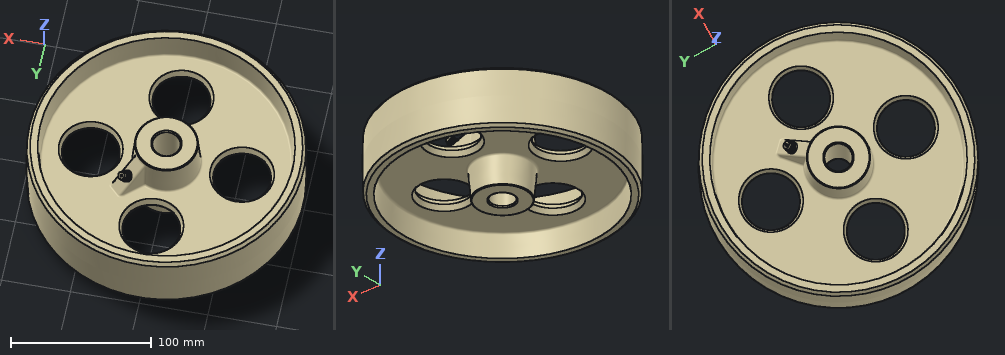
import cadquery as cq
import math

tread_radius = 100.0
tread_draft = 1.0
rim_width = 48.8
rim_chamfer = 2.5
rim_mouth_radius = 91.8
web_half_thickness = 4.5
hub_half_length = 29.0
hub_end_radius = 22.5
hub_chamfer = 0.5
casting_draft = 5.0
casting_fillet = 1.8
bore_radius = 10.0
bore_chamfer = 1.0

hole_count = 4
hole_circle_radius = 55.0
hole_waist_radius = 20.5
hole_mouth_radius = 23.0

boss_direction = 45.0
seat_slope = 45.0
seat_foot_radius = 44.5
boss_width = 12.2
boss_shoulder_radius = 2.0
boss_inner_radius = 21.5
boss_overrun = 2.0
boss_depth = 17.0

nipple_radial_position = 33.8
flange_radius = 4.2
flange_height = 1.8
neck_radius = 3.2
neck_top = 2.8
collar_radius = 3.5
collar_start = 3.2
collar_end = 4.5
tip_radius = 2.8
nipple_height = 7.0
inlet_radius = 0.8
inlet_depth = 1.0

rim_half_width = rim_width / 2
draft_slope = math.tan(math.radians(casting_draft))
tread_edge_radius = tread_radius - rim_half_width * math.tan(math.radians(tread_draft))
rim_root_radius = rim_mouth_radius - (rim_half_width - web_half_thickness) * draft_slope
hub_root_radius = hub_end_radius + (hub_half_length - web_half_thickness) * draft_slope

length_tolerance = 0.002


def is_circle(edge, radius, height):
    """True for a full or partial circle about the wheel axis with this radius and height."""
    if edge.geomType() != "CIRCLE":
        return False
    same_radius = math.isclose(edge.radius(), radius, abs_tol=length_tolerance)
    same_height = math.isclose(edge.Center().z, height, abs_tol=length_tolerance)
    return same_radius and same_height


def turn_profile(points):
    """Solid of revolution about Z from a closed (radius, height) outline."""
    return cq.Workplane("XZ").polyline(points).close().revolve(360, (0, 0, 0), (0, 1, 0))


def make_half_blank():
    """Upper half of the rim, web and hub, without any holes."""
    blank = turn_profile([
        (0, 0),
        (tread_radius, 0),
        (tread_edge_radius, rim_half_width),
        (rim_mouth_radius, rim_half_width),
        (rim_root_radius, web_half_thickness),
        (hub_root_radius, web_half_thickness),
        (hub_end_radius, hub_half_length),
        (0, hub_half_length),
    ])
    rim_edge = blank.edges().filter(lambda e: is_circle(e, tread_edge_radius, rim_half_width))
    blank = rim_edge.chamfer(rim_chamfer)
    hub_edge = blank.edges().filter(lambda e: is_circle(e, hub_end_radius, hub_half_length))
    blank = hub_edge.chamfer(hub_chamfer)
    rim_root = blank.edges().filter(lambda e: is_circle(e, rim_root_radius, web_half_thickness))
    return rim_root.fillet(casting_fillet)


def turn_to_boss(body):
    """Turn a body built along +X about the wheel axis to the direction of the boss."""
    return body.rotate((0, 0, 0), (0, 0, 1), boss_direction)


def seat_plane(radial_position):
    """Plane across the seat: local X runs across the boss, local Y points out of the seat
    and the normal runs up the slope towards the hub."""
    slope = math.radians(seat_slope)
    height = web_half_thickness + (seat_foot_radius - radial_position) * math.tan(slope)
    return cq.Plane(
        origin=(radial_position, 0, height),
        xDir=(0, -1, 0),
        normal=(-math.cos(slope), 0, math.sin(slope)),
    )


def make_boss():
    """Drafted ridge with rounded shoulders, running down from the hub to the web."""
    foot_end_radius = seat_foot_radius + boss_overrun
    slope_length = (foot_end_radius - boss_inner_radius) / math.cos(math.radians(seat_slope))
    half_top = boss_width / 2
    half_base = half_top + boss_depth * draft_slope
    foot_plane = seat_plane(foot_end_radius)
    ridge = (
        cq.Workplane(foot_plane)
        .polyline([
            (-half_top, 0),
            (half_top, 0),
            (half_base, -boss_depth),
            (-half_base, -boss_depth),
        ])
        .close()
        .extrude(slope_length)
    )
    seat = ridge.faces(cq.selectors.DirectionMinMaxSelector(foot_plane.yDir))
    ridge = seat.edges("not |Y").fillet(boss_shoulder_radius)
    space_above_mid_plane = cq.Workplane().box(
        2 * tread_radius, 2 * tread_radius, hub_half_length, centered=(True, True, False)
    )
    return turn_to_boss(ridge.intersect(space_above_mid_plane))


def is_casting_root(edge):
    """True for the foot of the hub and boss on the web, and for the boss meeting the hub."""
    box = edge.BoundingBox()
    at_web_height = math.isclose(box.zmin, web_half_thickness, abs_tol=length_tolerance)
    if at_web_height and box.zlen < length_tolerance:
        inside_rim = max(box.xmax, box.ymax) < seat_foot_radius + boss_overrun
        return inside_rim
    return edge.geomType() not in ("LINE", "CIRCLE")


def make_lightening_holes():
    """Cutters shaped like two cones joined at their narrow ends on the mid-plane."""
    cutter = turn_profile([
        (0, -web_half_thickness),
        (hole_mouth_radius, -web_half_thickness),
        (hole_waist_radius, 0),
        (hole_mouth_radius, web_half_thickness),
        (0, web_half_thickness),
    ]).translate((hole_circle_radius, 0, 0))
    return [cutter.rotate((0, 0, 0), (0, 0, 1), i * 360 / hole_count) for i in range(hole_count)]


def make_bore():
    """Cutter for the through bore with a chamfer at each end."""
    return turn_profile([
        (0, -hub_half_length),
        (bore_radius + bore_chamfer, -hub_half_length),
        (bore_radius, -hub_half_length + bore_chamfer),
        (bore_radius, hub_half_length - bore_chamfer),
        (bore_radius + bore_chamfer, hub_half_length),
        (0, hub_half_length),
    ])


def make_wheel():
    lower_half = make_half_blank().mirror("XY")
    lower_root = lower_half.edges().filter(
        lambda e: is_circle(e, hub_root_radius, -web_half_thickness)
    )
    lower_half = lower_root.fillet(casting_fillet)
    upper_half = make_half_blank().union(make_boss())
    upper_half = upper_half.edges().filter(is_casting_root).fillet(casting_fillet)
    body = upper_half.union(lower_half).cut(make_bore())
    for hole in make_lightening_holes():
        body = body.cut(hole)
    return body


def make_grease_nipple():
    """Turned nipple standing square on the seat, with a blind inlet in its tip."""
    seat = seat_plane(nipple_radial_position)
    axis_plane = cq.Plane(origin=seat.origin, xDir=seat.xDir, normal=seat.zDir)
    nipple = (
        cq.Workplane(axis_plane)
        .polyline([
            (0, 0),
            (flange_radius, 0),
            (flange_radius, flange_height),
            (neck_radius, flange_height),
            (neck_radius, neck_top),
            (collar_radius, collar_start),
            (collar_radius, collar_end),
            (tip_radius, collar_end),
            (tip_radius, nipple_height),
            (inlet_radius, nipple_height),
            (inlet_radius, nipple_height - inlet_depth),
            (0, nipple_height - inlet_depth),
        ])
        .close()
        .revolve(360, (0, 0, 0), (0, 1, 0))
    )
    return turn_to_boss(nipple)


wheel = make_wheel()
grease_nipple = make_grease_nipple()
result = cq.Compound.makeCompound([wheel.val(), grease_nipple.val()])